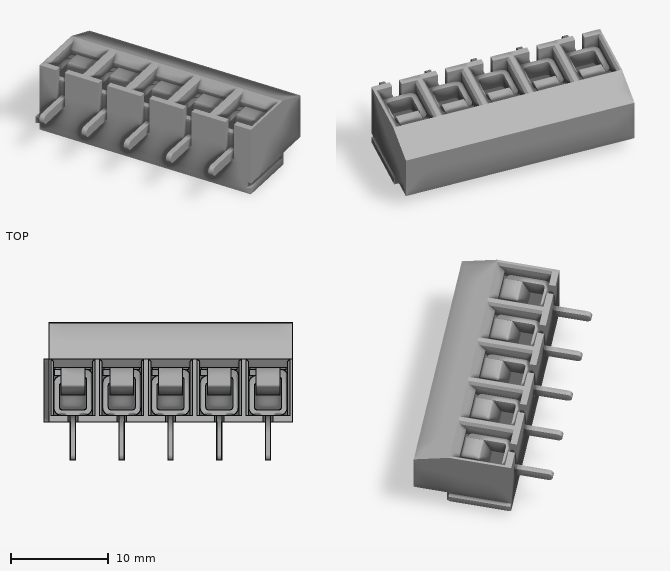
import cadquery as cq

poles = 5
pitch = 5.0
first_pole_x = 2.47
length = poles * pitch
depth = 10.2
height = 7.8
top_flat_depth = 6.48
slope_drop = 1.38
foot_depth = 6.73
foot_height = 1.43

rail_width = 0.5
rail_tip_height = 0.8
rail_root_height = 0.54
rail_center_z = foot_height - rail_tip_height / 2

pin_width = 0.55
pin_height = 1.05
pin_length = 3.9
pin_drop = 3.3
pin_top_z = height - pin_drop
pin_bottom_z = pin_top_z - pin_height

pocket_mouth_width = 4.51
pocket_width = 4.03
pocket_bevel_depth = 0.3
front_wall = 0.7
back_slope_run = 0.87
back_slope_drop = 1.02
pocket_back = top_flat_depth - back_slope_run
pocket_floor_z = pin_top_z
slot_width = 1.02

cage_width = 3.9
cage_drop = 1.5
cage_top_z = height - cage_drop
cage_wall = 0.55
cage_back_wall = 0.75
cage_back = 4.77
cage_corner = 0.76
cage_hole_corner = 0.3
overlap_thickness = 0.6
overlap_back = cage_back + overlap_thickness
overlap_setback = 0.05
overlap_corner = 0.55
right_hole_back = overlap_back - cage_back_wall
left_hole_back = cage_back - cage_back_wall

clamp_width = 2.45
clamp_drop = 1.28
clamp_top_z = height - clamp_drop
clamp_nose_y = 3.65
clamp_toe_y = 2.75
clamp_round = 0.25
shoulder_width = 3.67
shoulder_drop = 1.6
shoulder_top_z = height - shoulder_drop


def box(x_min, x_max, y_min, y_max, z_min, z_max):
    """Axis-aligned block given by its limits."""
    size = (x_max - x_min, y_max - y_min, z_max - z_min)
    return cq.Workplane("XY").box(*size, centered=False).translate((x_min, y_min, z_min))


def side_prism(points, x_min, x_max):
    """Outline of (y, z) points extruded along X."""
    return cq.Workplane("YZ").polyline(points).close().extrude(x_max - x_min).translate((x_min, 0, 0))


def housing():
    outline = [
        (0, 0),
        (foot_depth, 0),
        (foot_depth, foot_height),
        (depth, foot_height),
        (depth, height - slope_drop),
        (top_flat_depth, height),
        (0, height),
    ]
    return side_prism(outline, 0, length)


def dovetail(root_x):
    """Rail that starts narrow at the right-hand plane root_x and widens toward -X."""
    tip_x = root_x - rail_width
    outline = [
        (root_x, rail_center_z - rail_root_height / 2),
        (root_x, rail_center_z + rail_root_height / 2),
        (tip_x, rail_center_z + rail_tip_height / 2),
        (tip_x, rail_center_z - rail_tip_height / 2),
    ]
    return cq.Workplane("XZ").polyline(outline).close().extrude(-top_flat_depth)


def pocket(center_x):
    """Open-topped pocket with a sloped back, beveled sides and a slot through the front wall."""
    back_profile = [
        (front_wall, pocket_floor_z),
        (pocket_back, pocket_floor_z),
        (pocket_back, height - back_slope_drop),
        (top_flat_depth, height),
        (front_wall, height),
    ]
    half_mouth = pocket_mouth_width / 2
    cavity = side_prism(back_profile, center_x - half_mouth, center_x + half_mouth)

    half_width = pocket_width / 2
    bevel_z = height - pocket_bevel_depth
    side_profile = [
        (center_x - half_width, pocket_floor_z),
        (center_x + half_width, pocket_floor_z),
        (center_x + half_width, bevel_z),
        (center_x + half_mouth, height),
        (center_x - half_mouth, height),
        (center_x - half_width, bevel_z),
    ]
    cavity = cavity.intersect(cq.Workplane("XZ").polyline(side_profile).close().extrude(-depth))

    half_slot = slot_width / 2
    slot = box(center_x - half_slot, center_x + half_slot, 0, front_wall, pin_bottom_z, height)
    return cavity.union(slot)


def cage(center_x):
    """Strip ring standing on the pocket floor, its back doubled by the overlapping end."""
    left = center_x - cage_width / 2
    right = center_x + cage_width / 2
    z_range = (pocket_floor_z, cage_top_z)
    ring = box(left, right, front_wall, cage_back, *z_range).edges("|Z and (<Y or <X)").fillet(cage_corner)
    overlap = box(left + overlap_setback, right, cage_back, overlap_back, *z_range)
    overlap = overlap.edges("|Z and >X and >Y").fillet(overlap_corner)

    inner_left = left + cage_wall
    inner_right = right - cage_wall
    inner_front = front_wall + cage_wall
    opening = box(inner_left, inner_right, inner_front, left_hole_back, *z_range)
    opening = opening.union(box(center_x, inner_right, inner_front, right_hole_back, *z_range))
    opening = opening.edges("|Z and (<X or >X)").fillet(cage_hole_corner)
    return ring.union(overlap).cut(opening)


def clamp(center_x):
    """Round-edged leaf with a steep front face, and a wider shoulder behind the cage."""
    profile = [
        (pocket_back, pocket_floor_z),
        (clamp_toe_y, pocket_floor_z),
        (clamp_nose_y, clamp_top_z),
        (pocket_back, clamp_top_z),
    ]
    half_width = clamp_width / 2
    leaf = side_prism(profile, center_x - half_width, center_x + half_width)
    leaf = leaf.edges("|X and >Z").fillet(clamp_round)

    half_shoulder = shoulder_width / 2
    left = center_x - half_shoulder
    right = center_x + half_shoulder
    return leaf.union(box(left, right, overlap_back, pocket_back, pocket_floor_z, shoulder_top_z))


def pin(center_x):
    """Flat pin with a full round tip."""
    half_width = pin_width / 2
    tip_radius = pin_height / 2
    tip_start = tip_radius - pin_length
    tip_mid_z = pin_bottom_z + tip_radius
    return (
        cq.Workplane("YZ")
        .moveTo(front_wall, pin_bottom_z)
        .lineTo(tip_start, pin_bottom_z)
        .threePointArc((-pin_length, tip_mid_z), (tip_start, pin_top_z))
        .lineTo(front_wall, pin_top_z)
        .close()
        .extrude(pin_width)
        .translate((center_x - half_width, 0, 0))
    )


result = housing().union(dovetail(0)).cut(dovetail(length))
for pole in range(poles):
    pole_x = first_pole_x + pole * pitch
    result = result.cut(pocket(pole_x))
    result = result.union(cage(pole_x)).union(clamp(pole_x)).union(pin(pole_x))